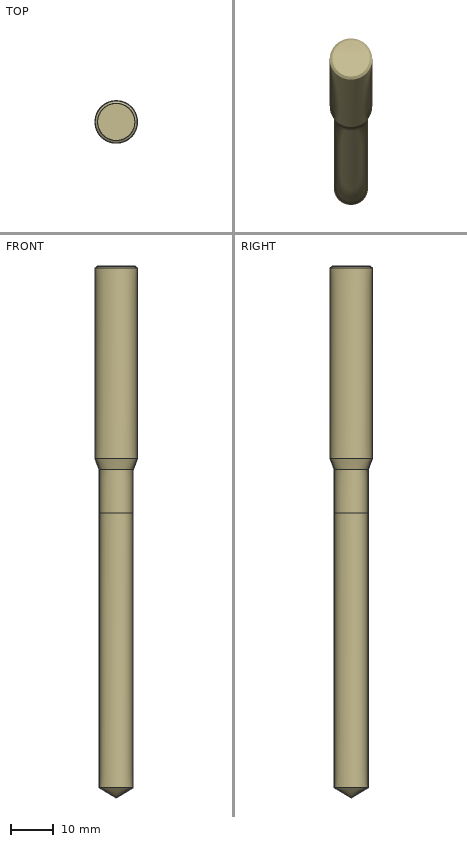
import cadquery as cq
import math

total_length = 125.0
shank_diameter = 10.0
drill_diameter = 8.0

shank_length = 45.2
shank_chamfer_height = 0.5
shank_chamfer_width = 0.6
shoulder_height = 2.6

drill_length = 67.0
point_angle = 118.0

shank_radius = shank_diameter / 2
drill_radius = drill_diameter / 2
point_height = drill_radius / math.tan(math.radians(point_angle / 2))
shoulder_top = total_length - shank_length
shoulder_bottom = shoulder_top - shoulder_height


def revolve_profile(points):
    """Revolve a closed (radius, height) outline about the Z axis."""
    return cq.Workplane("XZ").polyline(points).close().revolve(360, (0, 0, 0), (0, 1, 0))


def make_shank():
    """Clamping shank that narrows to a neck and ends at the drill."""
    return revolve_profile([
        (0, drill_length),
        (drill_radius, drill_length),
        (drill_radius, shoulder_bottom),
        (shank_radius, shoulder_top),
        (shank_radius, total_length - shank_chamfer_height),
        (shank_radius - shank_chamfer_width, total_length),
        (0, total_length),
    ])


def make_drill():
    """Plain cylindrical cutting body with a conical point."""
    return revolve_profile([
        (0, 0),
        (drill_radius, point_height),
        (drill_radius, drill_length),
        (0, drill_length),
    ])


shank = make_shank()
drill = make_drill()

result = cq.Compound.makeCompound([shank.val(), drill.val()])